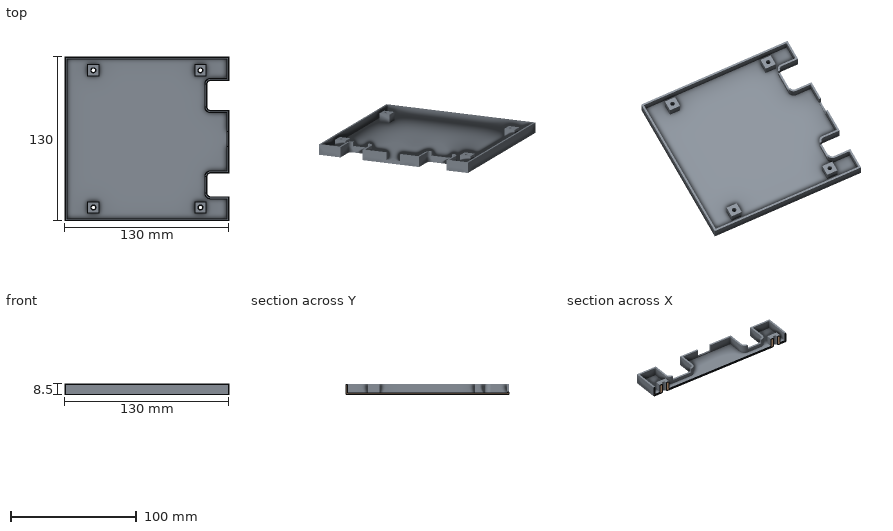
import cadquery as cq

side = 130.0
height = 8.5
wall = 1.5
floor = wall

notch_spans = [(19.0, 38.0), (87.5, 111.4)]
notch_depth = 17.4
notch_corner = 3.0
notch_wall_height = 5.0

opening_width = 12.0
opening_center_y = side / 2
opening_sill = 2.5

post_side = 9.0
post_top = height
post_hole_diameter = 3.6
post_first_x = 22.5
post_spacing_x = 85.0
post_spacing_y = 109.0


def box(x_start, x_end, y_start, y_end, z_start, z_end):
    """Block between two opposite corners."""
    return (
        cq.Workplane("XY", origin=(x_start, y_start, z_start))
        .box(x_end - x_start, y_end - y_start, z_end - z_start, centered=False)
    )


def notch_block(y_start, y_end, margin):
    """Full-height notch volume, grown outwards by margin, with its inner corners rounded."""
    block = box(side - notch_depth - margin, side + wall, y_start - margin, y_end + margin, 0, height)
    return block.edges("|Z and <X").fillet(notch_corner + margin)


def make_tray():
    """Open tray whose rim wall follows the notched outline."""
    tray = box(0, side, 0, side, 0, height)
    cavity = box(wall, side - wall, wall, side - wall, floor, height)
    for y_start, y_end in notch_spans:
        tray = tray.cut(notch_block(y_start, y_end, 0))
        cavity = cavity.cut(notch_block(y_start, y_end, wall))
    return tray.cut(cavity)


def notch_wall_relief(y_start, y_end):
    """Volume above the lowered straight wall behind a notch."""
    wall_x = side - notch_depth
    return box(
        wall_x - wall, wall_x,
        y_start + notch_corner, y_end - notch_corner,
        notch_wall_height, height,
    )


def wall_opening():
    """Volume of the opening in the +X wall, open at the top."""
    half_width = opening_width / 2
    return box(
        side - wall, side,
        opening_center_y - half_width, opening_center_y + half_width,
        opening_sill, height,
    )


def at_posts(z):
    """Workplane at height z with a point on each post axis."""
    center_x = post_first_x + post_spacing_x / 2
    return (
        cq.Workplane("XY", origin=(center_x, side / 2, z))
        .rarray(post_spacing_x, post_spacing_y, 2, 2)
    )


posts = at_posts(floor).rect(post_side, post_side).extrude(post_top - floor)
post_holes = at_posts(0).circle(post_hole_diameter / 2).extrude(post_top)

result = make_tray().cut(wall_opening())
for span in notch_spans:
    result = result.cut(notch_wall_relief(*span))
result = result.union(posts).cut(post_holes)